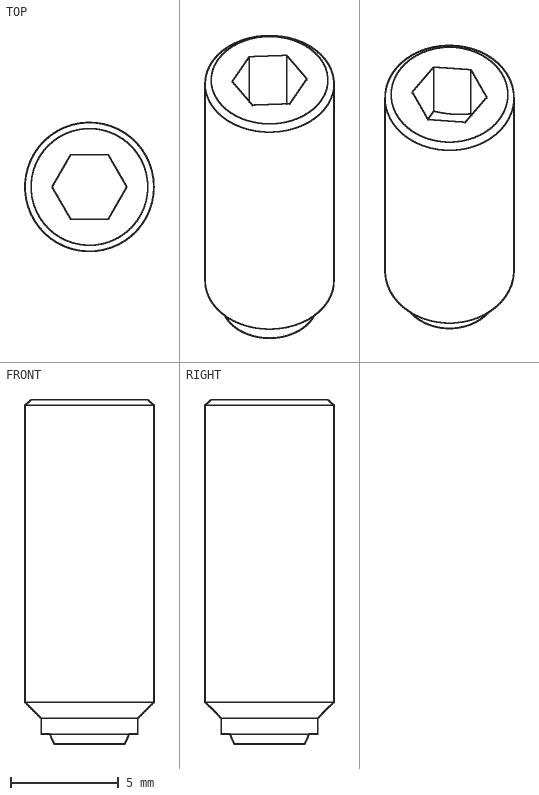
import cadquery as cq
import math

length = 16.0
body_diameter = 6.0
body_radius = body_diameter / 2
top_chamfer_width = 0.29
top_chamfer_height = 0.25

ball_radius = 1.92
ball_flat_radius = 1.63
ball_center_z = math.sqrt(ball_radius**2 - ball_flat_radius**2)
ball_protrusion = 0.46

neck_step = 0.75
neck_radius = body_radius - neck_step
neck_height = 0.74
neck_top_z = ball_protrusion + neck_height
cone_top_z = neck_top_z + neck_step

hex_across_flats = 3.0
hex_corner_radius = hex_across_flats / math.sqrt(3)
hex_depth = 3.52
drill_point_angle = 120.0
drill_point_depth = hex_corner_radius / math.tan(math.radians(drill_point_angle / 2))


def full_sphere():
    """Sphere that shapes both the ball and its seat."""
    return cq.Workplane("XY").sphere(ball_radius).translate((0, 0, ball_center_z))


def make_ball():
    """Ball cut off flat at Z = 0."""
    ball_top_z = ball_center_z + ball_radius
    keep = cq.Workplane("XY").circle(body_radius).extrude(ball_top_z)
    return full_sphere().intersect(keep)


def make_hex_socket():
    """Volume of the hexagonal socket, limited below by a cone."""
    floor_z = length - hex_depth
    tip_z = floor_z - drill_point_depth
    prism = (
        cq.Workplane("XY", origin=(0, 0, tip_z))
        .polygon(6, 2 * hex_corner_radius)
        .extrude(length - tip_z)
    )
    drill = (
        cq.Workplane("XZ")
        .moveTo(0, tip_z)
        .lineTo(hex_corner_radius, floor_z)
        .lineTo(hex_corner_radius, length)
        .lineTo(0, length)
        .close()
        .revolve(360, (0, 0), (0, 1))
    )
    return prism.intersect(drill)


def make_screw():
    """Turned screw body with a hexagonal socket and a ball seat."""
    blank = (
        cq.Workplane("XZ")
        .moveTo(0, ball_protrusion)
        .lineTo(neck_radius, ball_protrusion)
        .lineTo(neck_radius, neck_top_z)
        .lineTo(body_radius, cone_top_z)
        .lineTo(body_radius, length - top_chamfer_height)
        .lineTo(body_radius - top_chamfer_width, length)
        .lineTo(0, length)
        .close()
        .revolve(360, (0, 0), (0, 1))
    )
    return blank.cut(make_hex_socket()).cut(full_sphere())


screw = make_screw()
ball = make_ball()

result = cq.Compound.makeCompound([*screw.solids().vals(), *ball.solids().vals()])